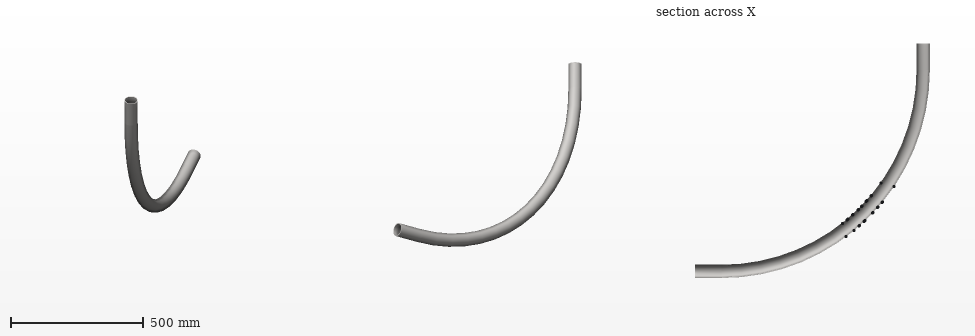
import cadquery as cq

overall_size = 889.0
outer_diameter = 51.0
inner_diameter = 44.5
straight_length = 100.5

bend_radius = overall_size - straight_length - outer_diameter / 2


def swept_rod(diameter):
    """Solid rod along the pipe's centre line, from the top end to the +Y end."""
    top_end = (0, 0, bend_radius + straight_length)
    centre_line = (
        cq.Workplane("YZ")
        .moveTo(0, bend_radius + straight_length)
        .lineTo(0, bend_radius)
        .radiusArc((bend_radius, 0), -bend_radius)
        .lineTo(bend_radius + straight_length, 0)
    )
    return cq.Workplane("XY", origin=top_end).circle(diameter / 2).sweep(centre_line)


result = swept_rod(outer_diameter).cut(swept_rod(inner_diameter))